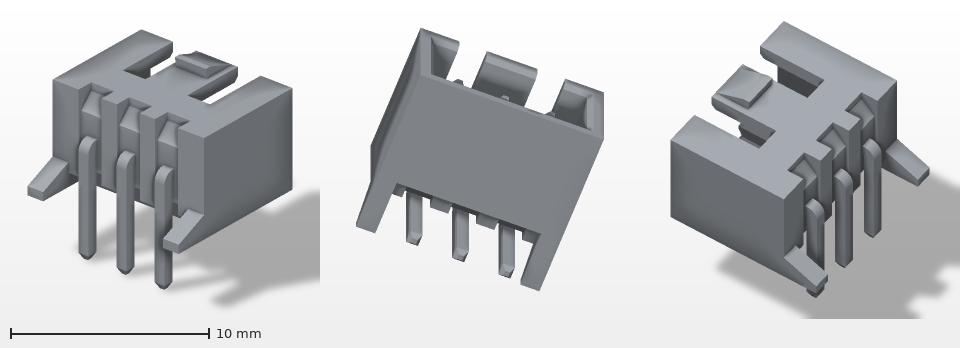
import cadquery as cq


width = 9.9
depth = 7.0
height = 5.79

wall = 0.8
mouth_chamfer = 0.25
cavity_depth = 4.0
cavity_floor = depth - cavity_depth

key_slot_width = 1.49
key_slot_spacing = 4.23

pocket_width = 1.5
pocket_depth = 0.2
pocket_deep_depth = 1.0
pocket_deep_top = 0.49
pocket_slope_height = 0.79
pocket_bottom = 1.32

recess_height = 0.81

foot_width = 1.03
foot_length = 2.0
foot_root_height = 1.41
foot_toe_height = 0.52

latch_width = 2.02
latch_height = 0.6
latch_ramp_length = 1.73
latch_top_length = 2.1
latch_base_length = 2.01

pin_count = 3
pin_pitch = 2.49
pin_size = 0.64
pin_tip_size = 0.27
pin_taper_length = 0.36
pin_drop = 3.49
pin_front = -0.54
pin_tip_y = 6.19
pin_axis_y = pin_front + pin_size / 2
pin_axis_z = 2.92
pin_xs = [(i - (pin_count - 1) / 2) * pin_pitch for i in range(pin_count)]


def box(x_size, x_center, y_range, z_range):
    """Box centred on x_center that spans the given Y and Z ranges."""
    y_start, y_end = y_range
    z_start, z_end = z_range
    solid = cq.Workplane("XY").box(x_size, y_end - y_start, z_end - z_start, centered=(True, False, False))
    return solid.translate((x_center, y_start, z_start))


def side_profile(points, x_size, x_center):
    """Prism with a closed (y, z) outline, centred on x_center."""
    return cq.Workplane("YZ").polyline(points).close().extrude(x_size / 2, both=True).translate((x_center, 0, 0))


def make_cavity():
    cavity_width = width - 2 * wall
    cavity_height = height - 2 * wall
    cavity = box(cavity_width, 0, (cavity_floor, depth), (wall, height - wall))
    mouth = (
        cq.Workplane("XZ", origin=(0, depth - mouth_chamfer, height / 2))
        .rect(cavity_width, cavity_height)
        .workplane(offset=-mouth_chamfer)
        .rect(cavity_width + 2 * mouth_chamfer, cavity_height + 2 * mouth_chamfer)
        .loft(ruled=True)
    )
    return cavity.union(mouth)


def make_pocket(x):
    """Rear pocket that is deep at both ends, with sloped transitions."""
    slope_top = height - pocket_deep_top
    outline = [
        (0, height),
        (pocket_deep_depth, height),
        (pocket_deep_depth, slope_top),
        (pocket_depth, slope_top - pocket_slope_height),
        (pocket_depth, pocket_bottom),
        (pocket_deep_depth, recess_height),
        (0, recess_height),
    ]
    return side_profile(outline, pocket_width, x)


def make_foot(x):
    outline = [
        (0, 0),
        (-foot_length, 0),
        (-foot_length, foot_toe_height),
        (0, foot_root_height),
    ]
    return side_profile(outline, foot_width, x)


def make_latch():
    outline = [
        (depth, height),
        (depth - latch_ramp_length, height + latch_height),
        (depth - latch_top_length, height + latch_height),
        (depth - latch_base_length, height),
    ]
    return side_profile(outline, latch_width, 0)


def make_pin_tip(plane, base_center, offset):
    """Square taper from the pin section, offset along the plane normal."""
    return (
        cq.Workplane(plane, origin=base_center)
        .rect(pin_size, pin_size)
        .workplane(offset=offset)
        .rect(pin_tip_size, pin_tip_size)
        .loft(ruled=True)
    )


def make_pin(x):
    """L-shaped square pin with a rounded outer bend and two tapered tips."""
    tail_end = -pin_drop + pin_taper_length
    contact_end = pin_tip_y - pin_taper_length
    pin_top = pin_axis_z + pin_size / 2
    inner_corner_y = pin_front + pin_size
    inner_corner_z = pin_top - pin_size
    bar = (
        cq.Workplane("YZ")
        .moveTo(pin_front, tail_end)
        .lineTo(pin_front, inner_corner_z)
        .radiusArc((inner_corner_y, pin_top), pin_size)
        .lineTo(contact_end, pin_top)
        .lineTo(contact_end, inner_corner_z)
        .lineTo(inner_corner_y, inner_corner_z)
        .lineTo(inner_corner_y, tail_end)
        .close()
        .extrude(pin_size / 2, both=True)
        .translate((x, 0, 0))
    )
    tail_tip = make_pin_tip("XY", (x, pin_axis_y, tail_end), -pin_taper_length)
    contact_tip = make_pin_tip("XZ", (x, contact_end, pin_axis_z), -pin_taper_length)
    return bar.union(tail_tip).union(contact_tip)


housing = box(width, 0, (0, depth), (0, height)).cut(make_cavity())
for side in (-1, 1):
    key_slot_x = side * key_slot_spacing / 2
    housing = housing.cut(box(key_slot_width, key_slot_x, (cavity_floor, depth), (height / 2, height)))
housing = housing.cut(box(width - 2 * foot_width, 0, (0, pocket_deep_depth), (0, recess_height)))
for pin_x in pin_xs:
    housing = housing.cut(make_pocket(pin_x))

for side in (-1, 1):
    housing = housing.union(make_foot(side * (width - foot_width) / 2))
housing = housing.union(make_latch())

for pin_x in pin_xs:
    housing = housing.union(make_pin(pin_x))

result = housing